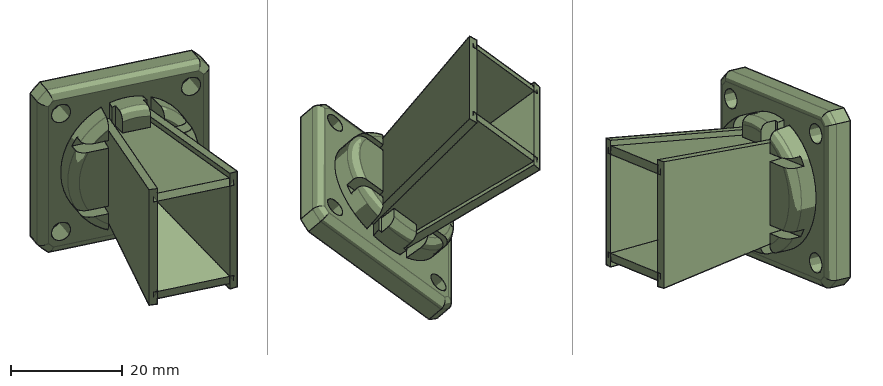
import cadquery as cq
import math

length = 35.97
flange_side = 33.3
flange_corner_diameter = 44.45
flange_thickness = 4.75
edge_radius = 1.6

hole_diameter = 3.67
hole_spacing_y = 25.25
hole_spacing_z = 24.3

boss_diameter = 25.4
boss_end = 9.6

slot_width = 1.6
slot_start = 6.33
slot_offset_y = 3.53
slot_offset_z = 6.75

guide_width = 6.47
guide_height = 12.95

plate_thickness = 1.6
throat_x = flange_thickness
side_plate_tilt = math.radians(6.9)
cap_plate_tilt = math.radians(5.2)
mouth_half_height = 11.95


def side_inner_y(x):
    """Inner face of the side plate, as a distance from the axis."""
    return guide_width / 2 + (x - throat_x) * math.tan(side_plate_tilt)


def cap_inner_z(x):
    """Inner face of the top plate, as a distance from the axis."""
    return guide_height / 2 + (x - throat_x) * math.tan(cap_plate_tilt)


def side_edge_z(x):
    """Top edge of the side plate, as a distance from the axis."""
    return mouth_half_height - (length - x) * math.tan(cap_plate_tilt)


def plate_profile(inner_at, tilt):
    """Lengthwise section of a tilted plate with a square-cut mouth end."""
    offset = plate_thickness / math.cos(tilt)
    mouth_outer = (
        length - plate_thickness * math.sin(tilt),
        inner_at(length) + plate_thickness * math.cos(tilt),
    )
    return [
        (flange_thickness, inner_at(flange_thickness)),
        (length, inner_at(length)),
        mouth_outer,
        (flange_thickness, inner_at(flange_thickness) + offset),
    ]


def centred_prism_y(points, width):
    """Prism with an X-Z outline, centred on Y = 0."""
    return cq.Workplane("XZ").polyline(points).close().extrude(width / 2, both=True)


def centred_prism_z(points, height):
    """Prism with an X-Y outline, centred on Z = 0."""
    return cq.Workplane("XY").polyline(points).close().extrude(height / 2, both=True)


def symmetric_outline(half_width_at, start, end):
    """Trapezoid about the X axis."""
    return [
        (start, -half_width_at(start)),
        (end, -half_width_at(end)),
        (end, half_width_at(end)),
        (start, half_width_at(start)),
    ]


def make_flange():
    """Square plate with its corners turned to a circle and its boss-side rim rounded."""
    disc = cq.Workplane("YZ").circle(flange_corner_diameter / 2).extrude(flange_thickness)
    flange = cq.Workplane("YZ").rect(flange_side, flange_side).extrude(flange_thickness).intersect(disc)
    flange = flange.faces(">X").edges().fillet(edge_radius)
    holes = (
        cq.Workplane("YZ")
        .rect(hole_spacing_y, hole_spacing_z, forConstruction=True)
        .vertices()
        .circle(hole_diameter / 2)
        .extrude(flange_thickness)
    )
    return flange.cut(holes)


def make_boss(side_plate_slots):
    """Round boss, slotted straight across and for the tilted side plates."""
    boss = cq.Workplane("YZ").workplane(offset=flange_thickness)
    boss = boss.circle(boss_diameter / 2).extrude(boss_end - flange_thickness)
    boss = boss.faces(">X").edges().fillet(edge_radius)
    slot_depth = boss_end - slot_start
    slot_plane = cq.Workplane("YZ").workplane(offset=slot_start)
    for side in (-1, 1):
        slot_along_z = slot_plane.center(side * slot_offset_y, 0).rect(slot_width, boss_diameter)
        boss = boss.cut(slot_along_z.extrude(slot_depth))
        slot_along_y = slot_plane.center(0, side * slot_offset_z).rect(boss_diameter, slot_width)
        boss = boss.cut(slot_along_y.extrude(slot_depth))
    return boss.cut(side_plate_slots)


def make_side_plate_stock():
    """Both side plates, tall enough to pass right through the boss."""
    plate = centred_prism_z(plate_profile(side_inner_y, side_plate_tilt), boss_diameter)
    return plate.union(plate.mirror("XZ"))


def make_side_plates(stock):
    """Both side plates, trimmed to their flared height."""
    outline = symmetric_outline(side_edge_z, flange_thickness, length)
    return stock.intersect(centred_prism_y(outline, flange_side))


def make_cap_plates():
    """Top and bottom plates, trimmed to end inside the side plates."""
    plate = centred_prism_y(plate_profile(cap_inner_z, cap_plate_tilt), flange_side)

    def plate_middle(x):
        return side_inner_y(x) + plate_thickness / 2

    plate = plate.intersect(
        centred_prism_z(symmetric_outline(plate_middle, flange_thickness, length), flange_side)
    )
    return plate.union(plate.mirror("XY"))


def make_horn_cavity():
    """Straight waveguide opening followed by the flared inside of the horn."""
    guide = cq.Workplane("YZ").rect(guide_width, guide_height).extrude(length)
    flare_in_y = centred_prism_z(symmetric_outline(side_inner_y, throat_x, length), flange_side)
    flare_in_z = centred_prism_y(symmetric_outline(cap_inner_z, throat_x, length), flange_side)
    return guide.union(flare_in_y.intersect(flare_in_z))


side_plate_stock = make_side_plate_stock()
result = (
    make_flange()
    .union(make_boss(side_plate_stock))
    .union(make_side_plates(side_plate_stock))
    .union(make_cap_plates())
    .cut(make_horn_cavity())
)